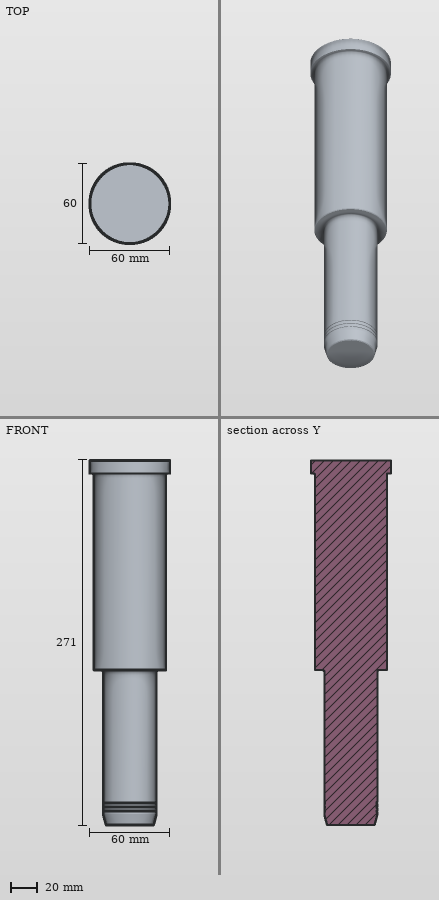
import cadquery as cq
import math

total_length = 271.0
head_diameter = 60.0
head_height = 10.0
head_chamfer = 0.5
sleeve_diameter = 54.0
sleeve_bottom = 115.0
sleeve_chamfer = 0.5
pin_diameter = 39.8

corner_fillet = 0.8

nose_height = 8.0
nose_angle = 15.0
tip_chamfer = 0.5

groove_count = 3
groove_pitch = 3.0
groove_width = 0.8
groove_depth = 0.5
lowest_groove_height = 10.5

head_bottom = total_length - head_height
sleeve_radius = sleeve_diameter / 2
pin_radius = pin_diameter / 2


def cylinder(diameter, bottom, top):
    return cq.Workplane("XY").workplane(offset=bottom).circle(diameter / 2).extrude(top - bottom)


def make_head():
    head = cylinder(head_diameter, head_bottom, total_length)
    return head.faces(">Z").edges().chamfer(head_chamfer)


def make_sleeve():
    sleeve = cylinder(sleeve_diameter, sleeve_bottom, head_bottom)
    return sleeve.faces("<Z").edges().chamfer(sleeve_chamfer)


def make_pin():
    tip_radius = pin_radius - nose_height * math.tan(math.radians(nose_angle))
    body = cylinder(pin_diameter, nose_height, sleeve_bottom)
    nose = cq.Solid.makeCone(tip_radius, pin_radius, nose_height)
    pin = body.union(cq.Workplane(nose))
    return pin.faces("<Z").edges().chamfer(tip_chamfer)


def make_corner_fillet(shaft_radius, shoulder_height):
    """Ring that rounds the inner corner between a shaft and the shoulder above it."""
    outer_radius = shaft_radius + corner_fillet
    lower_height = shoulder_height - corner_fillet
    arc_reach = corner_fillet * math.sqrt(0.5)
    arc_middle = (outer_radius - arc_reach, lower_height + arc_reach)
    section = (
        cq.Workplane("XZ")
        .moveTo(0, lower_height)
        .lineTo(shaft_radius, lower_height)
        .threePointArc(arc_middle, (outer_radius, shoulder_height))
        .lineTo(0, shoulder_height)
        .close()
    )
    return section.revolve(360, (0, 0, 0), (0, 1, 0))


def make_groove(center_height):
    bottom = center_height - groove_width / 2
    top = center_height + groove_width / 2
    floor_diameter = pin_diameter - 2 * groove_depth
    return cylinder(head_diameter, bottom, top).cut(cylinder(floor_diameter, bottom, top))


result = make_head().union(make_sleeve()).union(make_pin())
result = result.union(make_corner_fillet(sleeve_radius, head_bottom))
result = result.union(make_corner_fillet(pin_radius, sleeve_bottom))
for index in range(groove_count):
    result = result.cut(make_groove(lowest_groove_height + index * groove_pitch))